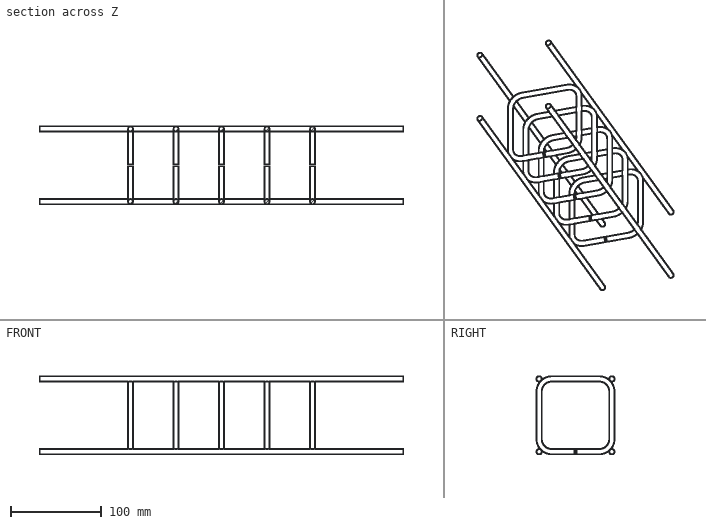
import cadquery as cq
import math

ROD_LENGTH = 400.0
ROD_DIAMETER = 6.0
ROD_SPACING = 80.0

STIRRUP_COUNT = 5
STIRRUP_PITCH = 50.0
WIRE_DIAMETER = 6.0
STIRRUP_SIDE = 80.0
BEND_RADIUS = 14.0
END_GAP = 2.0


def make_rod(y, z):
    """Round rod along X, centred on X = 0."""
    start = cq.Vector(-ROD_LENGTH / 2, y, z)
    return cq.Solid.makeCylinder(ROD_DIAMETER / 2, ROD_LENGTH, start, cq.Vector(1, 0, 0))


def make_rods():
    """One rod at each corner of the square."""
    offsets = (-ROD_SPACING / 2, ROD_SPACING / 2)
    return [make_rod(y, z) for y in offsets for z in offsets]


def make_stirrup(x):
    """Bent wire ring in the plane at X = x, its two ends facing each other across the gap."""
    half = STIRRUP_SIDE / 2
    straight = half - BEND_RADIUS
    bend_mid = straight + BEND_RADIUS * math.sqrt(0.5)
    wire_end = END_GAP / 2
    path = (
        cq.Workplane("YZ", origin=(x, 0, 0))
        .moveTo(wire_end, -half)
        .lineTo(straight, -half)
        .threePointArc((bend_mid, -bend_mid), (half, -straight))
        .lineTo(half, straight)
        .threePointArc((bend_mid, bend_mid), (straight, half))
        .lineTo(-straight, half)
        .threePointArc((-bend_mid, bend_mid), (-half, straight))
        .lineTo(-half, -straight)
        .threePointArc((-bend_mid, -bend_mid), (-straight, -half))
        .lineTo(-wire_end, -half)
    )
    section = cq.Workplane("XZ", origin=(x, wire_end, -half)).circle(WIRE_DIAMETER / 2)
    return section.sweep(path).val()


def make_stirrups():
    """Evenly spaced stirrups, centred on X = 0."""
    first_x = -STIRRUP_PITCH * (STIRRUP_COUNT - 1) / 2
    return [make_stirrup(first_x + i * STIRRUP_PITCH) for i in range(STIRRUP_COUNT)]


first_rod, *other_parts = make_rods() + make_stirrups()
cage = first_rod.fuse(*other_parts)
result = cq.Workplane(obj=cage.Solids()[0])